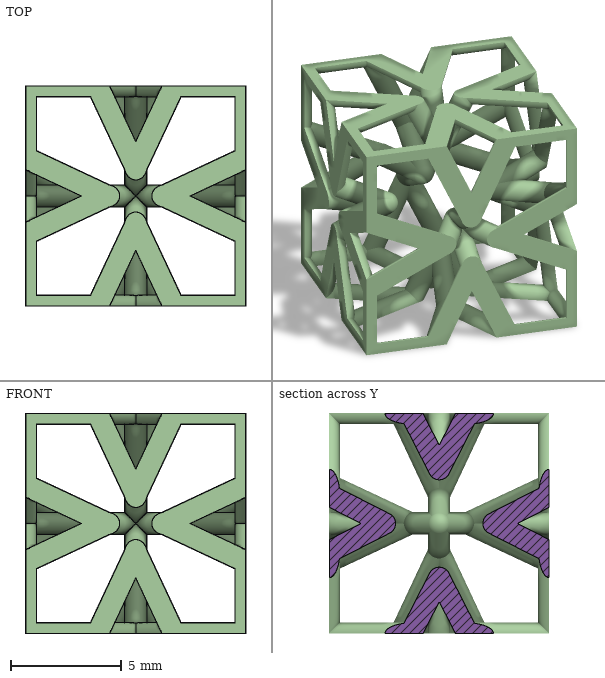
import cadquery as cq

cell_size = 10.0
strut_diameter = 1.0
edge_node_offset = 1.74
tip_offset = 1.29
pyramid_depth = 2.53

half_cell = cell_size / 2
strut_radius = strut_diameter / 2
center = (0, 0, 0)
x_axis = (1, 0, 0)
y_axis = (0, 1, 0)
z_axis = (0, 0, 1)


def strut(start, end):
    """Round strut between two points."""
    base = cq.Vector(*start)
    direction = cq.Vector(*end) - base
    rod = cq.Solid.makeCylinder(strut_radius, direction.Length, base, direction)
    return cq.Workplane(obj=rod)


def ball(node):
    """Ball that rounds the joint where struts meet at a node."""
    return cq.Workplane("XY", origin=node).sphere(strut_radius)


def face_arm():
    """The -Y quarter of the top face: two edge struts, the V between them and its inner strut."""
    tip = (0, -tip_offset, half_cell)
    inner_node = (0, 0, half_cell - pyramid_depth)
    arm = strut(tip, inner_node).union(ball(tip)).union(ball(inner_node))
    for side in (-1, 1):
        corner = (side * half_cell, -half_cell, half_cell)
        edge_node = (side * edge_node_offset, -half_cell, half_cell)
        arm = arm.union(strut(corner, edge_node))
        arm = arm.union(ball(edge_node))
        arm = arm.union(strut(edge_node, tip))
    cell = cq.Workplane("XY").box(cell_size, cell_size, cell_size)
    return arm.intersect(cell)


def with_turned_copies(body, axis, angles):
    """Join a body with copies of itself turned about an axis through the cell centre."""
    joined = body
    for angle in angles:
        joined = joined.union(body.rotate(center, axis, angle))
    return joined


top_face = with_turned_copies(face_arm(), z_axis, (90, 180, 270))

top_bottom_and_y_faces = with_turned_copies(top_face, x_axis, (90, 180, 270))
x_faces = top_face.rotate(center, y_axis, 90).union(top_face.rotate(center, y_axis, 270))

result = top_bottom_and_y_faces.union(x_faces)